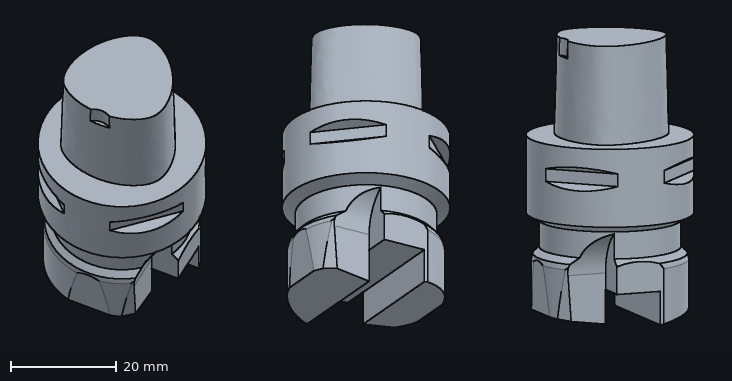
import cadquery as cq
import math

TOTAL_HEIGHT = 54
FLANGE_DIAMETER = 32.0
OVERSIZE = 2 * FLANGE_DIAMETER
CLEARANCE = 0.55

HEAD_RADIUS = 15.0
HEAD_TOP_Z = 11.05
RIM_RADIUS = 14.75
RIM_Z = 12.1
NECK_RADIUS = 13.5
NECK_BOTTOM_Z = RIM_Z + RIM_RADIUS - NECK_RADIUS
NECK_TOP_Z = 18.6
FLANGE_BOTTOM_Z = 19.9
FLANGE_TOP_Z = 35.0

GROOVE_Z = 29.0
GROOVE_FLOOR_WIDTH = 2.45
GROOVE_FLOOR_DISTANCE = 14.2
GROOVE_SIDE_ANGLE = 30

SHANK_BASE_RADIUS = 10.9
SHANK_TAPER = 1 / 20
SHANK_LOBE_HEIGHT = 0.75
SHANK_POINTS = 48
SHANK_HEIGHT = TOTAL_HEIGHT - FLANGE_TOP_Z
SHANK_TOP_RADIUS = SHANK_BASE_RADIUS - SHANK_HEIGHT * SHANK_TAPER / 2

NOTCH_RADIUS = 3.5
NOTCH_INNER_Y = -8.95
NOTCH_DEPTH = 3.35

SLOT_WIDTH = 8.9
SLOT_HEIGHT = 6.7
SIDE_FLAT_X = 14.1
LEANING_FLAT_ANGLE = 3
FRONT_FLAT_DISTANCE = 14.25
CORNER_FLAT_DISTANCE = 14.1
CUTOUT_X = 8.5
CUTOUT_ARC_Z = 10.0
CUTOUT_ARC_RADIUS = 10.0
LEG_BOTTOM_ANGLE = 8
BACK_LEG_RISE = 0.15


def about_z(solid, angle):
    return solid.rotate((0, 0, 0), (0, 0, 1), angle)


def turned_body():
    flange_radius = FLANGE_DIAMETER / 2
    profile = [
        (0, 0),
        (HEAD_RADIUS, 0),
        (HEAD_RADIUS, HEAD_TOP_Z),
        (RIM_RADIUS, RIM_Z),
        (NECK_RADIUS, NECK_BOTTOM_Z),
        (NECK_RADIUS, NECK_TOP_Z),
        (flange_radius, FLANGE_BOTTOM_Z),
        (flange_radius, FLANGE_TOP_Z),
        (0, FLANGE_TOP_Z),
    ]
    return cq.Workplane("XZ").polyline(profile).close().revolve(360, (0, 0), (0, 1))


def lobed_points(mean_radius):
    """Three-lobed constant-width curve with one lobe pointing to +Y."""
    points = []
    for i in range(SHANK_POINTS):
        angle = 2 * math.pi * i / SHANK_POINTS
        reach = mean_radius - SHANK_LOBE_HEIGHT * math.sin(3 * angle)
        slide = -3 * SHANK_LOBE_HEIGHT * math.cos(3 * angle)
        x = reach * math.cos(angle) - slide * math.sin(angle)
        y = reach * math.sin(angle) + slide * math.cos(angle)
        points.append((x, y))
    return points


def shank():
    body = (
        cq.Workplane("XY", origin=(0, 0, FLANGE_TOP_Z))
        .spline(lobed_points(SHANK_BASE_RADIUS), periodic=True).close()
        .workplane(offset=SHANK_HEIGHT)
        .spline(lobed_points(SHANK_TOP_RADIUS), periodic=True).close()
        .loft(ruled=True)
    )
    notch = (
        cq.Workplane("XY", origin=(0, NOTCH_INNER_Y - NOTCH_RADIUS, TOTAL_HEIGHT))
        .circle(NOTCH_RADIUS)
        .extrude(-NOTCH_DEPTH)
    )
    return body.cut(notch)


def gripper_groove():
    """Trapezoidal groove across the +X side of the flange."""
    outer = FLANGE_DIAMETER / 2 + CLEARANCE
    half_floor = GROOVE_FLOOR_WIDTH / 2
    flare = (outer - GROOVE_FLOOR_DISTANCE) * math.tan(math.radians(GROOVE_SIDE_ANGLE))
    half_mouth = half_floor + flare
    return (
        cq.Workplane("XZ")
        .polyline([
            (GROOVE_FLOOR_DISTANCE, GROOVE_Z - half_floor),
            (outer, GROOVE_Z - half_mouth),
            (outer, GROOVE_Z + half_mouth),
            (GROOVE_FLOOR_DISTANCE, GROOVE_Z + half_floor),
        ])
        .close()
        .extrude(OVERSIZE / 2, both=True)
    )


def side_flat():
    """Upright flat on the +X side of the head."""
    return cq.Workplane("XY").box(
        OVERSIZE, OVERSIZE, NECK_BOTTOM_Z, centered=(False, True, False)
    ).translate((SIDE_FLAT_X, 0, 0))


def leaning_flat(distance):
    """Flat on the +X side of the head, leaning outward as it rises."""
    lean = NECK_BOTTOM_Z * math.tan(math.radians(LEANING_FLAT_ANGLE))
    return (
        cq.Workplane("XZ")
        .polyline([
            (distance, 0),
            (OVERSIZE, 0),
            (OVERSIZE, NECK_BOTTOM_Z),
            (distance + lean, NECK_BOTTOM_Z),
        ])
        .close()
        .extrude(OVERSIZE / 2, both=True)
    )


def corner_cutout():
    """Removes the +X end of the front leg, running out upward along an arc."""
    height = NECK_TOP_Z - CUTOUT_ARC_Z
    half_height = height / 2

    def arc_x(rise):
        return CUTOUT_X + CUTOUT_ARC_RADIUS - math.sqrt(CUTOUT_ARC_RADIUS**2 - rise**2)

    return (
        cq.Workplane("XZ", origin=(0, -SLOT_WIDTH / 2, 0))
        .moveTo(CUTOUT_X, 0)
        .lineTo(CUTOUT_X, CUTOUT_ARC_Z)
        .threePointArc((arc_x(half_height), CUTOUT_ARC_Z + half_height), (arc_x(height), NECK_TOP_Z))
        .lineTo(OVERSIZE, NECK_TOP_Z)
        .lineTo(OVERSIZE, 0)
        .close()
        .extrude(OVERSIZE)
    )


def leg_bottom(rise):
    """Wedge under the front leg; the leg's inner edge ends up at z = rise."""
    run = OVERSIZE - SLOT_WIDTH / 2
    outer_z = rise + run * math.tan(math.radians(LEG_BOTTOM_ANGLE))
    return (
        cq.Workplane("YZ")
        .polyline([
            (-SLOT_WIDTH / 2, -CLEARANCE),
            (-SLOT_WIDTH / 2, rise),
            (-OVERSIZE, outer_z),
            (-OVERSIZE, -CLEARANCE),
        ])
        .close()
        .extrude(OVERSIZE / 2, both=True)
    )


result = turned_body().union(shank())

for groove_angle in (45, 135, 225, 315):
    result = result.cut(about_z(gripper_groove(), groove_angle))

for half_turn in (0, 180):
    result = result.cut(about_z(side_flat(), half_turn))
    result = result.cut(about_z(leaning_flat(FRONT_FLAT_DISTANCE), half_turn - 90))
    result = result.cut(about_z(leaning_flat(CORNER_FLAT_DISTANCE), half_turn - 45))
    result = result.cut(about_z(corner_cutout(), half_turn))

drive_slot = cq.Workplane("XY").box(OVERSIZE, SLOT_WIDTH, SLOT_HEIGHT, centered=(True, True, False))
result = result.cut(drive_slot)

result = result.cut(leg_bottom(0))
result = result.cut(about_z(leg_bottom(BACK_LEG_RISE), 180))